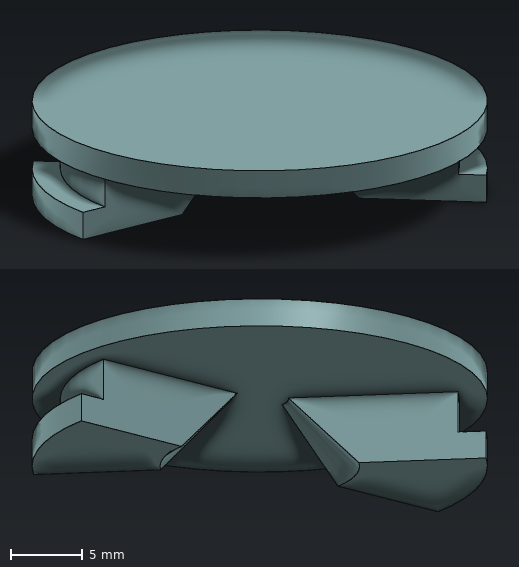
import cadquery as cq

disc_radius = 16.0
disc_thickness = 2.0
neck_height = 2.98
flange_thickness = 2.0
neck_radius = 14.0
inner_top_radius = 2.0
sector_angle = 45.0

disc_bottom = flange_thickness + neck_height

inner_bottom_radius = inner_top_radius + disc_bottom


def make_clip(center_angle):
    """Revolved sector with an outward flange, centred on the given angle about Z."""
    profile = [
        (inner_bottom_radius, 0),
        (disc_radius, 0),
        (disc_radius, flange_thickness),
        (neck_radius, flange_thickness),
        (neck_radius, disc_bottom),
        (inner_top_radius, disc_bottom),
    ]
    sector = cq.Workplane("XZ").polyline(profile).close().revolve(sector_angle, (0, 0), (0, 1))
    start_angle = center_angle - sector_angle / 2
    return sector.rotate((0, 0, 0), (0, 0, 1), start_angle)


result = cq.Workplane("XY").workplane(offset=disc_bottom).circle(disc_radius).extrude(disc_thickness)

for clip_angle in (90, 270):
    result = result.union(make_clip(clip_angle))